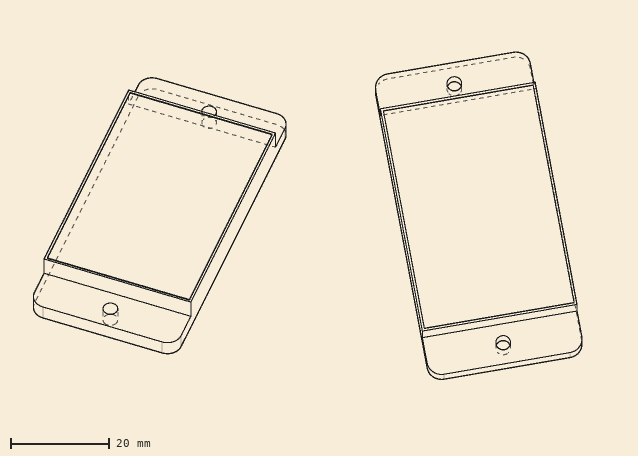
import cadquery as cq

length = 65.0
width = 32.0
plate_thickness = 3.5
corner_radius = 3.0

total_height = 8.0
housing_length = 48.1

rim_width = 0.5
recess_depth = 0.2

hole_diameter = 3.0
hole_spacing = 56.0


def make_plate():
    plate = cq.Workplane("XY").box(width, length, plate_thickness, centered=(True, True, False))
    return plate.edges("|Z").fillet(corner_radius)


def make_housing():
    return cq.Workplane("XY").box(width, housing_length, total_height, centered=(True, True, False))


def make_recess():
    return (
        cq.Workplane("XY")
        .workplane(offset=total_height - recess_depth)
        .rect(width - 2 * rim_width, housing_length - 2 * rim_width)
        .extrude(recess_depth)
    )


def make_mounting_holes():
    return (
        cq.Workplane("XY")
        .pushPoints([(0, -hole_spacing / 2), (0, hole_spacing / 2)])
        .circle(hole_diameter / 2)
        .extrude(plate_thickness)
    )


body = make_plate().union(make_housing())
result = body.cut(make_recess()).cut(make_mounting_holes())